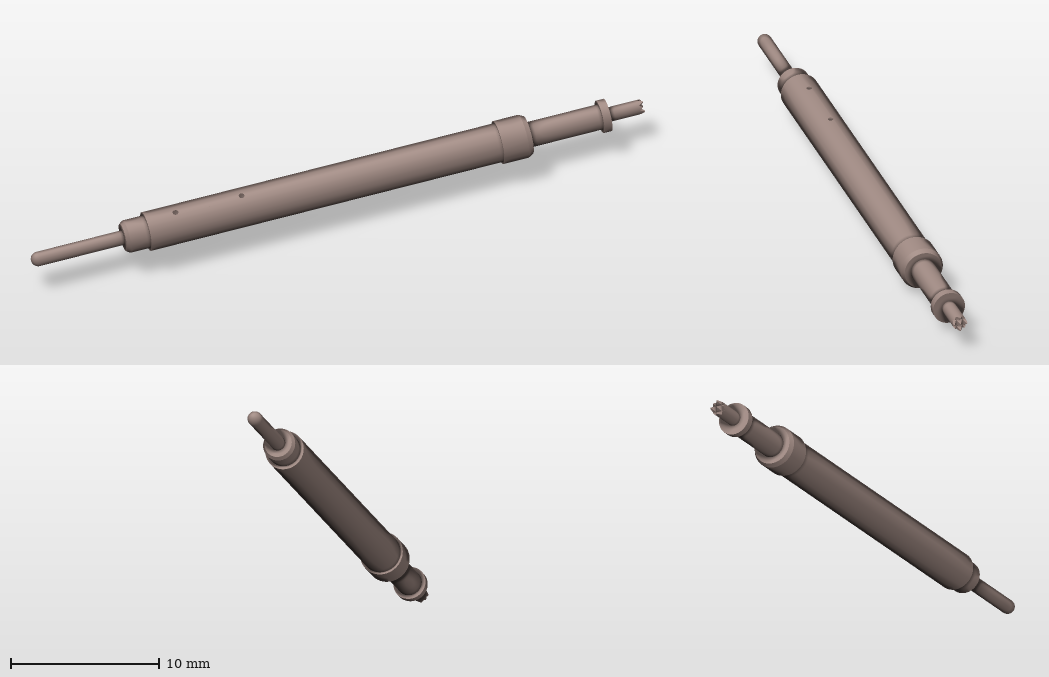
import cadquery as cq
import math

length = 43.3

pin_radius = 1.0 / 2
nose_radius = 2.25 / 2
barrel_radius = 2.7 / 2
collar_radius = 3.0 / 2
tube_radius = 1.75 / 2
flange_radius = nose_radius

nose_start = 6.5
barrel_start = 8.15
collar_start = 33.05
collar_end = 35.15
flange_start = 40.23
flange_end = 40.8

nose_taper_drop = 0.17
nose_taper_length = 0.25
collar_taper_drop = 0.17
collar_taper_length = 0.35

dimple_places = (10.2, 14.9)
dimple_radius = 0.195

groove_pitch = 0.45
groove_depth = 0.35
groove_angle = 60.0


def make_turned_body():
    """Revolve the stepped half outline, with a hemispherical plunger tip."""
    tip_middle = pin_radius * math.sqrt(0.5)
    outline = (
        cq.Workplane("XY")
        .moveTo(0, 0)
        .threePointArc((tip_middle, pin_radius - tip_middle), (pin_radius, pin_radius))
        .lineTo(pin_radius, nose_start)
        .lineTo(nose_radius - nose_taper_drop, nose_start)
        .lineTo(nose_radius, nose_start + nose_taper_length)
        .lineTo(nose_radius, barrel_start)
        .lineTo(barrel_radius, barrel_start)
        .lineTo(barrel_radius, collar_start)
        .lineTo(collar_radius, collar_start)
        .lineTo(collar_radius, collar_end - collar_taper_length)
        .lineTo(collar_radius - collar_taper_drop, collar_end)
        .lineTo(tube_radius, collar_end)
        .lineTo(tube_radius, flange_start)
        .lineTo(flange_radius, flange_start)
        .lineTo(flange_radius, flange_end)
        .lineTo(pin_radius, flange_end)
        .lineTo(pin_radius, length)
        .lineTo(0, length)
        .close()
    )
    return outline.revolve(360, (0, 0, 0), (0, 1, 0))


def make_dimple(place):
    """Ball that presses a hemispherical dimple into the barrel."""
    return cq.Workplane("XY").sphere(dimple_radius).translate((0, place, barrel_radius))


def make_groove(offset):
    """V groove running along Z, with its bottom at X = offset."""
    half_width = groove_depth * math.tan(math.radians(groove_angle / 2))
    return (
        cq.Workplane("XY")
        .moveTo(offset, length - groove_depth)
        .lineTo(offset + half_width, length)
        .lineTo(offset - half_width, length)
        .close()
        .extrude(2 * pin_radius, both=True)
    )


result = make_turned_body()

for place in dimple_places:
    result = result.cut(make_dimple(place))

for offset in (-groove_pitch / 2, groove_pitch / 2):
    groove = make_groove(offset)
    crossing_groove = groove.rotate((0, 0, 0), (0, 1, 0), 90)
    result = result.cut(groove).cut(crossing_groove)